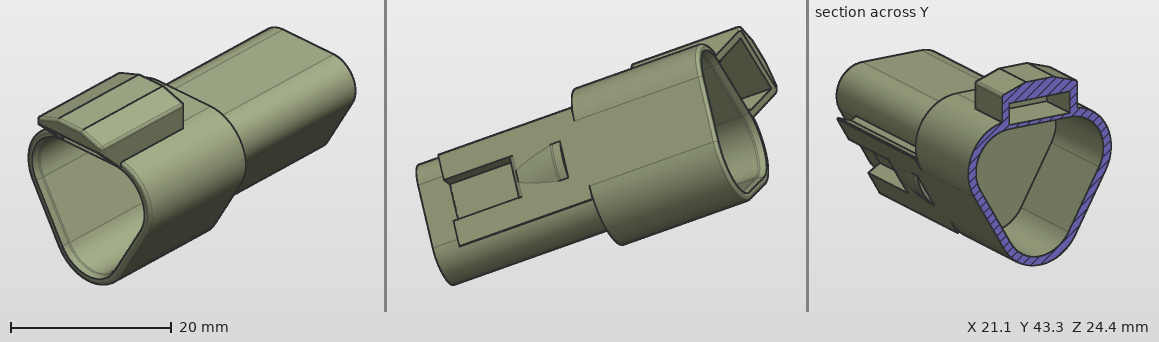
import cadquery as cq
import math


shroud_side = 8.9
shroud_radius = 6.05
shroud_length = 17.4
wall = 1.2
mouth_round = 0.45
mouth_flare = 0.3
mouth_flare_length = 0.95
mouth_flare_round = 0.8

body_side = 8.65
body_radius = 3.8
body_end = 39.85

tab_half_width = 5.55
tab_height = 4.6
tab_overhang = 3.45
tab_rear = 11.65
tab_flat_half_width = 2.05
tab_roof_drop = 1.15
tab_nose_height = 2.0
tab_round = 0.45
recess_front_half_width = 4.5
recess_back_half_width = 4.35
recess_ceiling = 2.42
recess_floor_depth = 0.6
recess_lip_round = 0.3
recess_back_wall = 1.25

flat_turn = -120
rail_end = 35.7
rail_half_width = 6.3
rail_lip = 0.2
rail_neck_depth = 1.47
rail_neck_half_width = 4.8

slot_half_width = 2.8
slot_depth = 2.0
slot_front = 26.85
slot_end_round = 0.55

ramp_half_width = 2.5
ramp_height = 0.5
ramp_front = 19.85
ramp_shoulder = 21.05
ramp_tip = 26.85
ramp_blend = 0.15


def flat_distance(side, radius):
    """Distance from the centre to each flat of a rounded triangle."""
    return side / (2 * math.sqrt(3)) + radius


def rounded_triangle(side, radius, start, end, taper=0):
    """Prism along Y: an equilateral triangle, apex down, grown outward by radius.

    The section shrinks towards the end by the taper angle in degrees.
    """
    reach = side / math.sqrt(3)
    corners = [(reach * math.cos(a), reach * math.sin(a)) for a in map(math.radians, (30, 150, 270))]
    return (
        cq.Workplane("XZ", origin=(0, start, 0))
        .polyline(corners)
        .close()
        .offset2D(radius)
        .extrude(start - end, taper=taper)
    )


shroud_flat = flat_distance(shroud_side, shroud_radius)
tab_top = shroud_flat + tab_height


def make_shroud():
    shroud = rounded_triangle(shroud_side, shroud_radius, 0, shroud_length)
    return shroud.faces("<Y").edges().fillet(mouth_round)


def make_cavity():
    """Cavity flared at the mouth; its floor lies one wall thickness before the shoulder."""
    radius = shroud_radius - wall
    straight = rounded_triangle(shroud_side, radius, 0, shroud_length - wall)
    flare_angle = math.degrees(math.atan(mouth_flare / mouth_flare_length))
    flare = rounded_triangle(shroud_side, radius + mouth_flare, 0, mouth_flare_length, flare_angle)
    cavity = straight.union(flare)
    seam = cavity.edges().filter(lambda edge: math.isclose(edge.Center().y, mouth_flare_length))
    return seam.fillet(mouth_flare_round)


def make_tab():
    side_top = tab_top - tab_roof_drop
    nose_bottom = tab_top - tab_nose_height
    base = nose_bottom - tab_overhang
    tab = (
        cq.Workplane("XZ", origin=(0, -tab_overhang, 0))
        .moveTo(-tab_half_width, base)
        .lineTo(-tab_half_width, side_top)
        .lineTo(-tab_flat_half_width, tab_top)
        .lineTo(tab_flat_half_width, tab_top)
        .lineTo(tab_half_width, side_top)
        .lineTo(tab_half_width, base)
        .close()
        .extrude(-tab_overhang - tab_rear)
    )
    eaves = tab.edges("|Y").filter(lambda edge: math.isclose(edge.Center().z, side_top))
    tab = eaves.fillet(tab_round)
    tab = tab.faces("<Y or >Y").edges("not <Z").fillet(tab_round)
    undercut = (
        cq.Workplane("YZ")
        .polyline([(-tab_overhang, nose_bottom), (-tab_overhang, base), (0, base)])
        .close()
        .extrude(tab_half_width, both=True)
    )
    return tab.cut(undercut)


def make_recess():
    """Tapered pocket that hollows the tab from the front, with a rounded lip at the mouth."""
    floor = shroud_flat - recess_floor_depth
    height = tab_top - recess_ceiling - floor
    depth = tab_overhang + tab_rear - recess_back_wall
    pocket = (
        cq.Workplane("XZ", origin=(0, -tab_overhang, floor))
        .center(0, height / 2)
        .rect(2 * recess_front_half_width, height)
        .workplane(offset=-depth)
        .rect(2 * recess_back_half_width, height)
        .loft(ruled=True)
    )
    lip = (
        cq.Workplane("YZ")
        .moveTo(recess_lip_round, floor)
        .radiusArc((0, floor - recess_lip_round), -recess_lip_round)
        .lineTo(-tab_overhang, floor - recess_lip_round)
        .lineTo(-tab_overhang, floor)
        .close()
        .extrude(recess_back_half_width, both=True)
    )
    below_lip = cq.Workplane("XY").box(
        2 * recess_back_half_width, tab_overhang, wall, centered=(True, False, False)
    ).translate((0, -tab_overhang, floor - wall))
    return pocket.union(lip).union(below_lip)


def make_rail():
    """Dovetail-edged rail with its slot and ramp, modelled on the top flat."""
    neck_z = shroud_flat - rail_neck_depth
    lip_z = shroud_flat - rail_lip
    body_z = flat_distance(body_side, 0)
    right_half = [
        (rail_neck_half_width, body_z),
        (rail_neck_half_width, neck_z),
        (rail_half_width, lip_z),
        (rail_half_width, shroud_flat),
    ]
    left_half = [(-x, z) for x, z in reversed(right_half)]
    rail = (
        cq.Workplane("XZ", origin=(0, shroud_length, 0))
        .polyline(right_half + left_half)
        .close()
        .extrude(shroud_length - rail_end)
    )
    return rail.union(make_ramp()).cut(make_slot())


def make_ramp():
    """Bullet-shaped bump: a cylinder and cone whose axis lies below the rail face."""
    radius = (ramp_half_width**2 + ramp_height**2) / (2 * ramp_height)
    axis_z = shroud_flat + ramp_height - radius
    slope = ramp_height / (ramp_tip - ramp_shoulder)
    turned = (
        cq.Workplane("XY")
        .moveTo(0, ramp_front)
        .lineTo(radius, ramp_front)
        .lineTo(radius, ramp_shoulder - ramp_blend)
        .tangentArcPoint((radius - slope * ramp_blend, ramp_shoulder + ramp_blend), relative=False)
        .lineTo(radius - ramp_height, ramp_tip)
        .lineTo(0, ramp_tip)
        .close()
        .revolve(360, (0, 0), (0, 1))
        .translate((0, 0, axis_z))
    )
    upper_part = (
        cq.Workplane("XY", origin=(0, 0, shroud_flat - rail_lip))
        .rect(2 * ramp_half_width, 2 * body_end)
        .extrude(2 * ramp_height)
    )
    return turned.intersect(upper_part)


def make_slot():
    """Slot open at the rail's rear end, with a rounded edge at its closed end."""
    top = shroud_flat + ramp_height
    floor = shroud_flat - slot_depth
    return (
        cq.Workplane("YZ")
        .moveTo(slot_front, floor)
        .lineTo(slot_front, shroud_flat - slot_end_round)
        .radiusArc((slot_front - slot_end_round, shroud_flat), -slot_end_round)
        .lineTo(slot_front - slot_end_round, top)
        .lineTo(rail_end, top)
        .lineTo(rail_end, floor)
        .close()
        .extrude(slot_half_width, both=True)
    )


body = rounded_triangle(body_side, body_radius, shroud_length - wall, body_end)
rail = make_rail().rotate((0, 0, 0), (0, 1, 0), flat_turn)
result = (
    make_shroud()
    .union(body)
    .union(rail)
    .union(make_tab())
    .cut(make_cavity())
    .cut(make_recess())
)